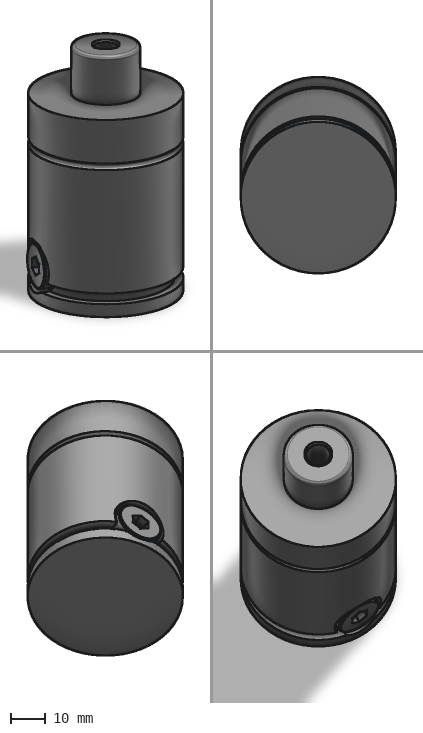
import cadquery as cq
import math

body_radius = 22.5
body_top = 61.0
flange_height = 4.0
lower_groove_top = 7.4
lower_groove_radius = 20.0
round_groove_radius = 1.0
round_groove_height = 46.5

rod_radius = 10.0
rod_top = 76.0
rod_edge_radius = 1.1
hole_radius = 3.4
hole_depth = 15.0
hole_chamfer = 0.6
drill_point_angle = 118

port_height = 10.6
port_pocket_radius = 8.0
port_floor_distance = 17.5
plug_radius = 6.9
plug_chamfer = 0.45
plug_face_distance = 22.0
hex_across_flats = 5.0
hex_depth = 3.05


def disc(radius, bottom, top):
    """Upright cylinder on the Z axis."""
    return cq.Workplane("XY").workplane(offset=bottom).circle(radius).extrude(top - bottom)


def port_plane(distance):
    """Plane at a distance from the axis, centred on the port and facing -Y."""
    return cq.Workplane("XZ", origin=(0, -distance, port_height))


def make_body():
    body = disc(body_radius, 0, body_top)
    lower_groove = disc(body_radius, flange_height, lower_groove_top).cut(
        disc(lower_groove_radius, flange_height, lower_groove_top)
    )
    round_groove = cq.Workplane("XY").add(
        cq.Solid.makeTorus(body_radius, round_groove_radius, cq.Vector(0, 0, round_groove_height))
    )
    return body.cut(lower_groove).cut(round_groove)


def make_rod():
    return disc(rod_radius, body_top, rod_top).faces(">Z").edges().fillet(rod_edge_radius)


def make_rod_hole():
    """Drilled hole with a chamfered mouth and a conical bottom."""
    point_depth = hole_radius / math.tan(math.radians(drill_point_angle / 2))
    hole_bottom = rod_top - hole_depth
    return (
        cq.Workplane("XZ")
        .moveTo(0, rod_top)
        .lineTo(hole_radius + hole_chamfer, rod_top)
        .lineTo(hole_radius, rod_top - hole_chamfer)
        .lineTo(hole_radius, hole_bottom)
        .lineTo(0, hole_bottom - point_depth)
        .close()
        .revolve(360, (0, 0, 0), (0, 1, 0))
    )


def add_port(part):
    """Sink a round flat-bottomed pocket and stand the hex socket plug in its middle."""
    pocket_depth = body_radius - port_floor_distance
    pocket = port_plane(port_floor_distance).circle(port_pocket_radius).extrude(pocket_depth)
    plug = (
        port_plane(port_floor_distance)
        .circle(plug_radius)
        .extrude(plug_face_distance - port_floor_distance)
        .faces("<Y")
        .edges()
        .chamfer(plug_chamfer)
    )
    hex_corner_diameter = hex_across_flats / math.cos(math.pi / 6)
    socket = (
        port_plane(plug_face_distance)
        .transformed(rotate=(0, 0, 90))
        .polygon(6, hex_corner_diameter)
        .extrude(-hex_depth)
    )
    return part.cut(pocket).union(plug).cut(socket)


result = add_port(make_body().union(make_rod()).cut(make_rod_hole()))